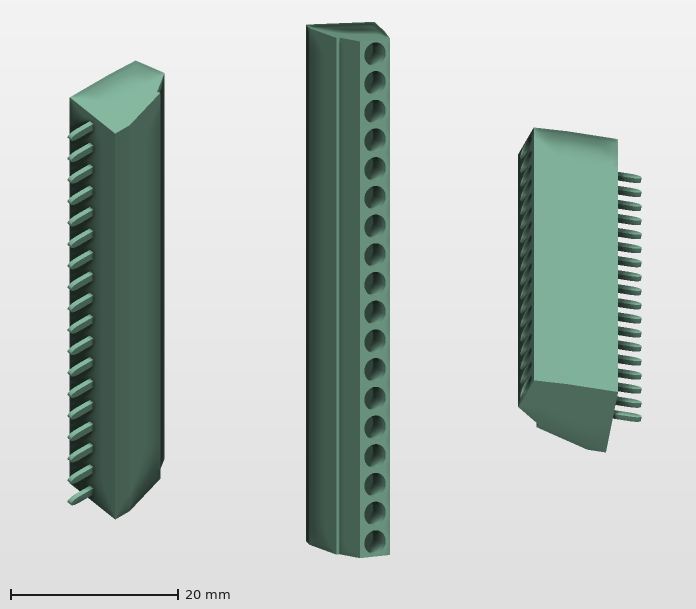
import cadquery as cq
import math

length = 63.0
pole_count = 18
pitch = length / pole_count

width = 8.4
height = 11.4
wall_bend_y = 6.2
shoulder_x = 0.2
shoulder_y = 10.2
ridge_x = 4.1
notch_x = 6.05
notch_y = 8.55
lip_x = 6.4
lip_y = 8.75
back_wall_y = 2.25

entry_diameter = 2.9
entry_depth = 3.15

pin_x = 4.05
pin_thickness = 0.6
pin_breadth = 1.0
pin_length = 3.5
pin_tip_length = 1.3


def make_housing():
    outline = [
        (0, 0),
        (width, 0),
        (width, back_wall_y),
        (lip_x, lip_y),
        (notch_x, notch_y),
        (ridge_x, height),
        (shoulder_x, shoulder_y),
        (0, wall_bend_y),
    ]
    return cq.Workplane("XY").polyline(outline).close().extrude(length)


def make_wire_entry(z):
    """Cylinder to cut, running inward from the middle of the entry face."""
    run = ridge_x - shoulder_x
    rise = height - shoulder_y
    slope_length = math.hypot(run, rise)
    center = cq.Vector((shoulder_x + ridge_x) / 2, (shoulder_y + height) / 2, z)
    inward = cq.Vector(rise / slope_length, -run / slope_length, 0)
    return cq.Solid.makeCylinder(entry_diameter / 2, entry_depth, center, inward)


def make_pin(z):
    """Pin hanging from the mounting face, its tip rounded in the YZ plane."""
    shank_length = pin_length - pin_tip_length
    side_plane = cq.Workplane("YZ", origin=(pin_x - pin_thickness / 2, 0, z))
    shank = side_plane.center(-shank_length / 2, 0).rect(shank_length, pin_breadth).extrude(pin_thickness)
    tip = side_plane.center(-shank_length, 0).ellipse(pin_tip_length, pin_breadth / 2).extrude(pin_thickness)
    return shank.union(tip)


result = make_housing()
for pole in range(pole_count):
    pole_z = (pole + 0.5) * pitch
    result = result.cut(cq.Workplane(make_wire_entry(pole_z)))
    result = result.union(make_pin(pole_z))